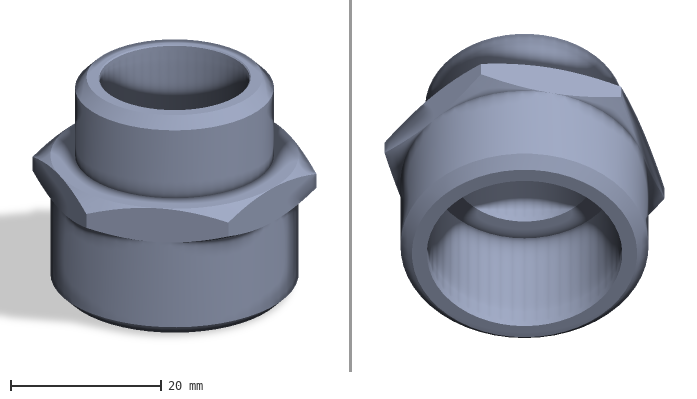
import cadquery as cq
import math

total_height = 30.5
hex_bottom = 14.0
hex_height = 5.0
hex_top = hex_bottom + hex_height
lower_bore_depth = 17.45

hex_across_corners = 38.1
hex_across_flats = hex_across_corners * math.cos(math.pi / 6)
lower_diameter = hex_across_flats
upper_diameter = 26.45
upper_bore_diameter = 20.0
lower_bore_diameter = 26.0

end_chamfer = 1.52
bore_chamfer = 0.15
hex_chamfer_angle = math.radians(30)


def stub(diameter, bottom, top):
    """Return a plain cylinder between two heights."""
    return cq.Workplane("XY").workplane(offset=bottom).circle(diameter / 2).extrude(top - bottom)


def chamfered_hex():
    """Return the wrench hexagon with its corners turned off conically at both faces."""
    prism = (
        cq.Workplane("XY")
        .workplane(offset=hex_bottom)
        .polygon(6, hex_across_corners)
        .extrude(hex_height)
    )
    corner_radius = hex_across_corners / 2
    flat_radius = hex_across_flats / 2
    drop = (corner_radius - flat_radius) * math.tan(hex_chamfer_angle)
    envelope = (
        cq.Workplane("XZ")
        .moveTo(0, hex_bottom)
        .lineTo(flat_radius, hex_bottom)
        .lineTo(corner_radius, hex_bottom + drop)
        .lineTo(corner_radius, hex_top - drop)
        .lineTo(flat_radius, hex_top)
        .lineTo(0, hex_top)
        .close()
        .revolve(360, (0, 0, 0), (0, 1, 0))
    )
    return prism.intersect(envelope)


lower_stub = stub(lower_diameter, 0, hex_bottom).faces("<Z").chamfer(end_chamfer)
upper_stub = stub(upper_diameter, hex_top, total_height).faces(">Z").chamfer(end_chamfer)
body = chamfered_hex().union(lower_stub).union(upper_stub)

lower_bore = stub(lower_bore_diameter, 0, lower_bore_depth)
upper_bore = stub(upper_bore_diameter, lower_bore_depth, total_height)
bored_body = body.cut(lower_bore).cut(upper_bore)

bore_mouth = bored_body.faces(">Z").edges(cq.selectors.RadiusNthSelector(0))
result = bore_mouth.chamfer(bore_chamfer)